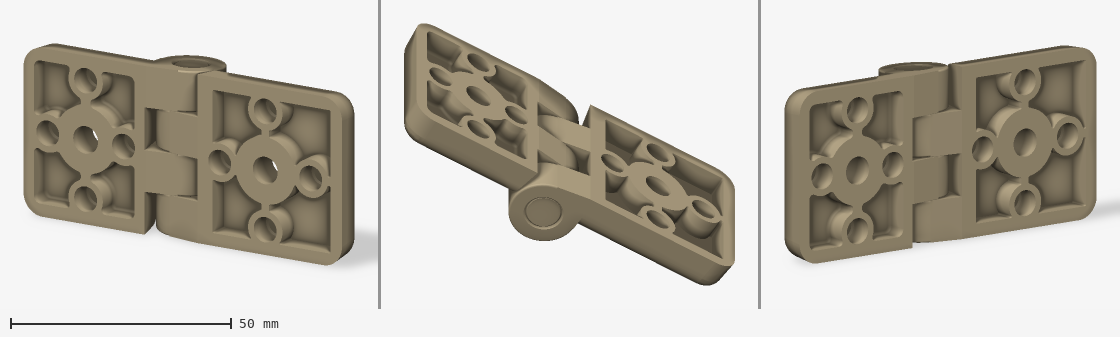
import cadquery as cq
import math


AXIS_HEIGHT = 9.0
LEAF_HEIGHT = 40.0
LEAF_STAGGER = 0.2
LEAF_THICKNESS = 8.6
LEFT_LENGTH = 38.9
RIGHT_LENGTH = 45.1
INNER_END = 7.0
INNER_END_SLANT = 1.8
LEFT_WEB_START = 6.55
RIGHT_WEB_START = 7.0
NECK_RADIUS = 0.8
CORNER_RADIUS = 5.05
EDGE_RADIUS = 3.4
DRAFT_ANGLE = 4.0

KNUCKLE_RADIUS = 8.0
KNUCKLE_PITCH = 10.0
KNUCKLE_GAP = 0.2
KNUCKLE_EDGE_RADIUS = 0.4
KNUCKLE_COUNT = 4
PIN_RADIUS = 4.1
PIN_RECESS = 0.4
PIN_CHAMFER = 0.3
BORE_CHAMFER = 0.4

CENTRE_HOLE_RADIUS = 3.3
SCREW_HOLE_RADIUS = 3.0
SCREW_HOLE_DEPTH = 5.9
SCREW_HOLE_FLOOR_CHAMFER = 0.4
SCREW_SPACING_Z = 14.0
CENTRE_BOSS_RADIUS = 8.0
SCREW_BOSS_RADIUS = 4.5
POCKET_HEIGHT = 33.95
POCKET_DEPTH = 5.05

LEFT_CENTRE = -22.5
LEFT_SPACING_X = 10.0
LEFT_POCKET = (-36.1, -9.6)
LEFT_POCKET_ROUND = 1.0
LEFT_CORNER_RADIUS = 1.7
LEFT_RIB_WIDTH = 2.5
LEFT_FLOOR_FILLET = 0.7
RIGHT_CENTRE = 24.9
RIGHT_SPACING_X = 12.0
RIGHT_POCKET = (11.0, 42.1)
RIGHT_POCKET_ROUND = 0.3
RIGHT_RIB_WIDTH = 2.0

BASE_Y = -AXIS_HEIGHT
BACK_Y = BASE_Y + LEAF_THICKNESS
BARREL_END = (LEAF_HEIGHT - LEAF_STAGGER) / 2 - AXIS_HEIGHT * math.tan(math.radians(DRAFT_ANGLE))


def mounting_plane(z_centre, x_centre=0.0):
    """Workplane on the mounting face: local x is X, local y is Z, and the normal is -Y."""
    return cq.Workplane("XZ", origin=(x_centre, BASE_Y, z_centre))


def drafted_block(length, thickness, z_centre):
    """Slab reaching x = -length..length at the mounting face, its sides leaning inwards."""
    return mounting_plane(z_centre).rect(2 * length, LEAF_HEIGHT).extrude(-thickness, taper=DRAFT_ANGLE)


def rounded_block(length, z_centre):
    """Drafted slab with rounded corners and back edges, from which a plate is trimmed."""
    block = drafted_block(length, LEAF_THICKNESS, z_centre)
    block = block.edges("not(#Y or |X or |Z)").fillet(CORNER_RADIUS)
    return block.faces(">Y").edges().fillet(EDGE_RADIUS)


def plate(side, length, z_centre):
    """Rounded slab on one side of the pin, its inner end leaning away from the knuckles."""
    kept_part = (
        cq.Workplane("XY")
        .moveTo(side * INNER_END, BASE_Y)
        .lineTo(side * (INNER_END + INNER_END_SLANT), BACK_Y)
        .lineTo(side * length, BACK_Y)
        .lineTo(side * length, BASE_Y)
        .close()
        .extrude(LEAF_HEIGHT, both=True)
    )
    return rounded_block(length, z_centre).intersect(kept_part)


def web_outline(side, web_start):
    """Outline joining a knuckle to its plate, tangent to the knuckle's underside."""
    axis_distance = math.hypot(web_start, AXIS_HEIGHT)
    slope = math.atan2(AXIS_HEIGHT, web_start) - math.asin(KNUCKLE_RADIUS / axis_distance)
    return (
        cq.Workplane("XY")
        .moveTo(side * KNUCKLE_RADIUS, BASE_Y)
        .lineTo(side * web_start, BASE_Y)
        .lineTo(-side * KNUCKLE_RADIUS * math.sin(slope), -KNUCKLE_RADIUS * math.cos(slope))
        .lineTo(0, 0)
        .lineTo(side * KNUCKLE_RADIUS, 0)
        .close()
    )


def neck_outline(side):
    """Concave round from the barrel to the back of the plate, filled down to the mounting face."""
    centre_distance = KNUCKLE_RADIUS + NECK_RADIUS
    centre_y = BACK_Y + NECK_RADIUS
    angle = math.asin(centre_y / centre_distance)
    centre_x = centre_distance * math.cos(angle)
    middle_angle = (angle + math.pi / 2) / 2
    middle = (
        side * (centre_x - NECK_RADIUS * math.cos(middle_angle)),
        centre_y - NECK_RADIUS * math.sin(middle_angle),
    )
    return (
        cq.Workplane("XY")
        .moveTo(0, BACK_Y)
        .lineTo(side * KNUCKLE_RADIUS * math.cos(angle), KNUCKLE_RADIUS * math.sin(angle))
        .threePointArc(middle, (side * centre_x, BACK_Y))
        .lineTo(side * INNER_END, BASE_Y)
        .close()
    )


def knuckle(side, length, web_start, index, z_centre):
    """One knuckle, a round-edged barrel with its web, counted from the bottom of the hinge."""
    height = KNUCKLE_PITCH - KNUCKLE_GAP
    bottom = (index - KNUCKLE_COUNT / 2) * KNUCKLE_PITCH + KNUCKLE_GAP / 2
    envelope = drafted_block(length, AXIS_HEIGHT + KNUCKLE_RADIUS, z_centre)
    barrel = cq.Workplane("XY").circle(KNUCKLE_RADIUS).extrude(height).translate((0, 0, bottom))
    barrel = barrel.intersect(envelope).edges("not |Z").fillet(KNUCKLE_EDGE_RADIUS)
    web = web_outline(side, web_start).extrude(height).translate((0, 0, bottom)).intersect(envelope)

    flat_height = LEAF_HEIGHT - 2 * (EDGE_RADIUS + LEAF_THICKNESS * math.tan(math.radians(DRAFT_ANGLE)))
    flat_back = cq.Workplane("XY").box(2 * length, 2 * length, flat_height).translate((0, 0, z_centre))
    neck = neck_outline(side).extrude(height).translate((0, 0, bottom)).intersect(flat_back)

    bridge = (
        cq.Workplane("XY", origin=(0, 0, bottom))
        .moveTo(side * INNER_END, BASE_Y)
        .lineTo(side * (INNER_END + INNER_END_SLANT), BACK_Y)
        .lineTo(side * INNER_END, BACK_Y)
        .close()
        .extrude(height)
        .intersect(rounded_block(length, z_centre))
    )
    return barrel.union(web).union(neck).union(bridge)


def pin_bore():
    """Through bore for the pin, with a small countersink square to each leaning outer end."""
    bore = cq.Workplane("XY").circle(PIN_RADIUS).extrude(LEAF_HEIGHT, both=True)
    draft = math.radians(DRAFT_ANGLE)
    for end in (1, -1):
        outward = cq.Vector(0, math.sin(draft), end * math.cos(draft))
        narrow_end = cq.Vector(0, 0, end * BARREL_END) - outward * BORE_CHAMFER
        cone = cq.Solid.makeCone(
            PIN_RADIUS, PIN_RADIUS + 2 * BORE_CHAMFER, 2 * BORE_CHAMFER, narrow_end, outward)
        bore = bore.union(cq.Workplane(cone))
    return bore


def screw_points(spacing_x):
    """Screw hole places around the centre hole."""
    return [(spacing_x, 0), (-spacing_x, 0), (0, SCREW_SPACING_Z), (0, -SCREW_SPACING_Z)]


def mounting_holes(x_centre, z_centre, spacing_x):
    """Centre through hole and the four blind screw holes around it."""
    face = mounting_plane(z_centre, x_centre)
    through = face.circle(CENTRE_HOLE_RADIUS).extrude(-LEAF_THICKNESS)
    screw_holes = (
        face.pushPoints(screw_points(spacing_x))
        .circle(SCREW_HOLE_RADIUS)
        .extrude(-SCREW_HOLE_DEPTH)
        .faces(">Y")
        .chamfer(SCREW_HOLE_FLOOR_CHAMFER)
    )
    return through.union(screw_holes)


def raw_pockets(x_centre, z_centre, spacing_x, pocket_ends, rib_width, corner_radius=0.0):
    """Recess left open between the frame, the bosses and the ribs that join them."""
    width = pocket_ends[1] - pocket_ends[0]
    frame = mounting_plane(z_centre, sum(pocket_ends) / 2)
    face = mounting_plane(z_centre, x_centre)
    centre_boss = face.circle(CENTRE_BOSS_RADIUS).extrude(-POCKET_DEPTH)
    screw_bosses = face.pushPoints(screw_points(spacing_x)).circle(SCREW_BOSS_RADIUS).extrude(-POCKET_DEPTH)
    level_rib = frame.rect(width, rib_width).extrude(-POCKET_DEPTH)
    upright_rib = face.rect(rib_width, POCKET_HEIGHT).extrude(-POCKET_DEPTH)
    recess = frame.rect(width, POCKET_HEIGHT).extrude(-POCKET_DEPTH)
    if corner_radius:
        recess = recess.edges("|Y").fillet(corner_radius)
    return recess.cut(centre_boss).cut(screw_bosses).cut(level_rib).cut(upright_rib)


def rounded_pockets(pockets, radius):
    """The same recesses with their upright corners rounded."""
    rounded = cq.Workplane("XY")
    for pocket in pockets.solids().vals():
        mouth = cq.Workplane(pocket).faces("<Y").wires().val()
        for shrunk in mouth.offset2D(-radius):
            for outline in shrunk.offset2D(radius):
                rounded = rounded.add(
                    cq.Solid.extrudeLinear(outline, [], cq.Vector(0, POCKET_DEPTH, 0)))
    return rounded


def leaf(side, length, web_start, x_centre, spacing_x, pockets):
    """Plate with its two knuckles, on the -X side (side = -1) or the +X side (side = 1) of the pin."""
    z_centre = side * LEAF_STAGGER / 2
    body = plate(side, length, z_centre)
    first_knuckle = 0 if side > 0 else 1
    for index in range(first_knuckle, KNUCKLE_COUNT, 2):
        body = body.union(knuckle(side, length, web_start, index, z_centre))
    body = body.cut(pin_bore())
    body = body.cut(mounting_holes(x_centre, z_centre, spacing_x))
    for pocket in pockets.vals():
        body = body.cut(cq.Workplane(pocket))
    return body


def left_pockets():
    """Recesses of the left leaf, with rounded frame corners and floor edges."""
    raw = raw_pockets(LEFT_CENTRE, -LEAF_STAGGER / 2, LEFT_SPACING_X, LEFT_POCKET, LEFT_RIB_WIDTH,
                      LEFT_CORNER_RADIUS)
    pockets = rounded_pockets(raw, LEFT_POCKET_ROUND)
    return pockets.faces(">Y").edges().fillet(LEFT_FLOOR_FILLET)


def right_pockets():
    """Recesses of the right leaf, with sharp floor edges."""
    raw = raw_pockets(RIGHT_CENTRE, LEAF_STAGGER / 2, RIGHT_SPACING_X, RIGHT_POCKET, RIGHT_RIB_WIDTH)
    return rounded_pockets(raw, RIGHT_POCKET_ROUND)


def pin():
    """Straight pin with chamfered ends, set just below the ends of the outer knuckles."""
    half_length = BARREL_END - PIN_RECESS
    rod = cq.Workplane("XY").circle(PIN_RADIUS).extrude(half_length, both=True)
    return rod.faces("<Z or >Z").chamfer(PIN_CHAMFER)


left_leaf = leaf(-1, LEFT_LENGTH, LEFT_WEB_START, LEFT_CENTRE, LEFT_SPACING_X, left_pockets())
right_leaf = leaf(1, RIGHT_LENGTH, RIGHT_WEB_START, RIGHT_CENTRE, RIGHT_SPACING_X, right_pockets())
hinge_pin = pin()

result = cq.Compound.makeCompound([left_leaf.solids().val(), right_leaf.solids().val(), hinge_pin.val()])